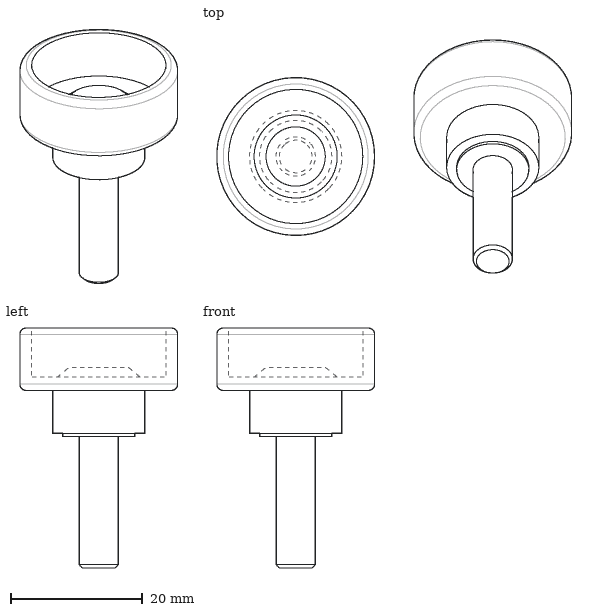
import cadquery as cq

total_height = 36.5
head_height = 9.53
neck_height = 6.5
collar_height = 0.5

head_diameter = 24.0
head_edge_radius = 1.0
neck_diameter = 14.0
collar_diameter = 11.0
cup_diameter = 20.4
cup_depth = 7.5
boss_base_diameter = 12.63
boss_top_diameter = 9.0
boss_height = 1.5

shank_diameter = 6.0
tip_chamfer = 0.5

head_bottom = total_height - head_height
neck_bottom = head_bottom - neck_height
collar_bottom = neck_bottom - collar_height
cup_floor = total_height - cup_depth


def cylinder(diameter, bottom, height):
    """Upright cylinder centred on the Z axis."""
    return cq.Workplane("XY").workplane(offset=bottom).circle(diameter / 2).extrude(height)


def make_boss():
    """Tapered boss standing on the floor of the cup."""
    return (
        cq.Workplane("XY")
        .workplane(offset=cup_floor)
        .circle(boss_base_diameter / 2)
        .workplane(offset=boss_height)
        .circle(boss_top_diameter / 2)
        .loft(ruled=True)
    )


def make_knob():
    """Cup-shaped head with rounded rims, a central boss, and a neck and collar below."""
    head = cylinder(head_diameter, head_bottom, head_height).edges().fillet(head_edge_radius)
    cup = cylinder(cup_diameter, cup_floor, cup_depth)
    neck = cylinder(neck_diameter, neck_bottom, neck_height)
    collar = cylinder(collar_diameter, collar_bottom, collar_height)
    return head.cut(cup).union(neck).union(collar).union(make_boss())


def make_stud():
    """Plain shank with a chamfered tip, seated against the collar."""
    return cylinder(shank_diameter, 0, collar_bottom).faces("<Z").chamfer(tip_chamfer)


knob = make_knob()
stud = make_stud()

result = cq.Compound.makeCompound([knob.val(), stud.val()])